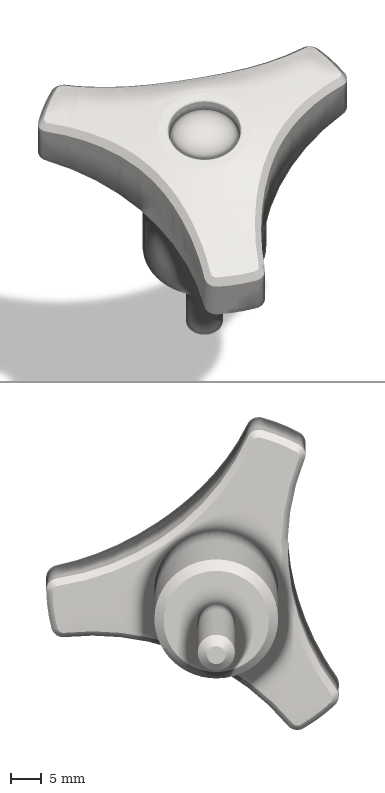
import cadquery as cq
import math


arm_count = 3
arm_spacing = 360 / arm_count
arm_tip_radius = 27.5
waist_radius = 12.0
scallop_radius = 40.5
corner_radius = 2.0
head_height = 14.0
crown_radius = 7.5
crown_drop = 4.5
top_chamfer = 1.0
bottom_chamfer = 1.0

recess_rim_radius = 6.0
recess_floor_radius = 5.6
recess_depth = 2.0
recess_chamfer = 0.15

hub_diameter = 20.0
hub_height = 19.0
hub_chamfer = 1.5

pin_diameter = 6.0
pin_length = 20.0
pin_chamfer = 1.5

head_top = hub_height + head_height


def make_crowned_blank():
    """Round blank with a flat crown and a conical top that falls toward the rim."""
    profile = (
        cq.Workplane("XZ")
        .moveTo(0, hub_height)
        .lineTo(arm_tip_radius, hub_height)
        .lineTo(arm_tip_radius, head_top - crown_drop)
        .lineTo(crown_radius, head_top)
        .lineTo(0, head_top)
        .close()
    )
    return profile.revolve(360, (0, 0, 0), (0, 1, 0))


def cut_scallops(disc):
    """Cut the round hollows between the arms; one arm points along +Y."""
    scallop_distance = waist_radius + scallop_radius
    first_scallop_angle = 90 - arm_spacing / 2
    for index in range(arm_count):
        angle = math.radians(first_scallop_angle + index * arm_spacing)
        scallop = (
            cq.Workplane("XY", origin=(0, 0, hub_height))
            .center(scallop_distance * math.cos(angle), scallop_distance * math.sin(angle))
            .circle(scallop_radius)
            .extrude(head_height)
        )
        disc = disc.cut(scallop)
    return disc


def make_head():
    """Star of rounded arms under the conical top, chamfered along both outlines."""
    disc = cq.Workplane("XY", origin=(0, 0, hub_height)).circle(arm_tip_radius).extrude(head_height)
    star = cut_scallops(disc).edges("|Z").fillet(corner_radius)
    head = star.intersect(make_crowned_blank())
    head = head.faces("<Z").edges().chamfer(bottom_chamfer)
    return head.faces("%CONE").faces(">Z").edges("not %CIRCLE").chamfer(top_chamfer)


def make_hub():
    hub = cq.Workplane("XY").circle(hub_diameter / 2).extrude(hub_height)
    return hub.faces("<Z").chamfer(hub_chamfer)


def make_pin():
    pin = cq.Workplane("XY").circle(pin_diameter / 2).extrude(-pin_length)
    return pin.faces("<Z").chamfer(pin_chamfer)


def cut_recess(body):
    """Sink a shallow tapered recess with a chamfered rim into the crown."""
    recess = (
        cq.Workplane("XZ", origin=(0, 0, head_top))
        .lineTo(recess_rim_radius, 0)
        .lineTo(recess_rim_radius - recess_chamfer, -recess_chamfer)
        .lineTo(recess_floor_radius, -recess_depth)
        .lineTo(0, -recess_depth)
        .close()
        .revolve(360, (0, 0, 0), (0, 1, 0))
    )
    return body.cut(recess)


result = cut_recess(make_head().union(make_hub()).union(make_pin()))